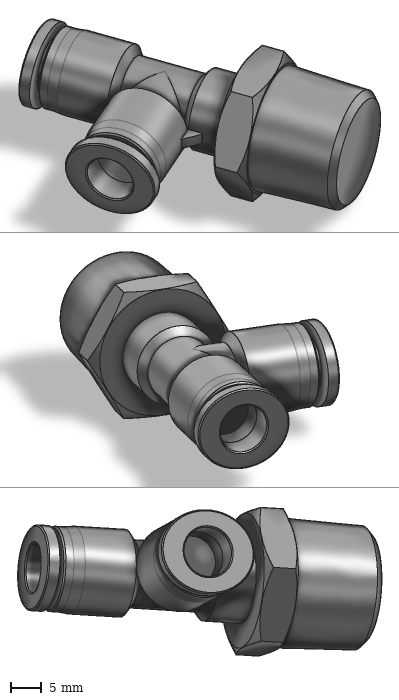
import cadquery as cq
import math


ARM_DIRECTIONS = (180, -90)
ARM_REACH = 22.65
FLANGE_THICKNESS = 2.0
SOCKET_MOUTH = 19.55
SOCKET_MOUTH_CHAMFER = 0.3
TAPER_OUTER = 17.9
TAPER_INNER = 16.0
SOCKET_SHOULDER = 7.2
CONE_LENGTH = 1.25
SOCKET_DIAMETER = 14.4
SOCKET_MOUTH_DIAMETER = 14.0
CORE_DIAMETER = 11.2

NECK_DIAMETER = 9.7
NECK_INSERTION = 1.6
FLANGE_WIDTH = 16.0
FLANGE_HEIGHT = 14.0
FLANGE_CHAMFER = 0.25
TUBE_BORE_DIAMETER = 8.2
TUBE_BORE_DEPTH = 8.45
BORE_MOUTH_CHAMFER = 0.25

COLLAR_DIAMETER = 14.0
RIB_THICKNESS = 1.95
RIB_LEG = 2.5

STUD_START = 13.55
HEX_ACROSS_FLATS = 22.25
HEX_LENGTH = 5.9
HEX_CHAMFER_DIAMETER = 22.15
HEX_CHAMFER_ANGLE = 30.0
THREAD_START_DIAMETER = 21.4
THREAD_END_DIAMETER = 20.4
THREAD_CHAMFER = 1.15
STUD_END = 57.2 - ARM_REACH

FLANGE_BACK = ARM_REACH - FLANGE_THICKNESS
NECK_END = SOCKET_MOUTH - NECK_INSERTION
CONE_END = SOCKET_SHOULDER - CONE_LENGTH


def turned(points):
    """Solid of revolution about X from (distance, radius) points."""
    start, end = points[0][0], points[-1][0]
    return (
        cq.Workplane("XY")
        .polyline([(start, 0), *points, (end, 0)])
        .close()
        .revolve(360, (0, 0, 0), (1, 0, 0))
    )


def along_arm(body, direction):
    """Turn a body built along +X about Z to the given direction in degrees."""
    return body.rotate((0, 0, 0), (0, 0, 1), direction)


def make_socket():
    """Stepped outside of one push-in arm."""
    core_radius = CORE_DIAMETER / 2
    full_radius = SOCKET_DIAMETER / 2
    mouth_radius = SOCKET_MOUTH_DIAMETER / 2
    return turned([
        (CONE_END, core_radius),
        (SOCKET_SHOULDER, full_radius),
        (TAPER_INNER, full_radius),
        (TAPER_OUTER, mouth_radius),
        (SOCKET_MOUTH - SOCKET_MOUTH_CHAMFER, mouth_radius),
        (SOCKET_MOUTH, mouth_radius - SOCKET_MOUTH_CHAMFER),
    ])


def make_core():
    """Two equal tubes that meet in a mitre at the crossing point."""
    radius = CORE_DIAMETER / 2
    run = cq.Workplane("YZ", origin=(-SOCKET_SHOULDER, 0, 0)).circle(radius).extrude(2 * SOCKET_SHOULDER)
    branch = cq.Workplane("XZ").circle(radius).extrude(SOCKET_SHOULDER)
    return run.union(branch)


def make_collar():
    radius = COLLAR_DIAMETER / 2
    return turned([
        (CONE_END, CORE_DIAMETER / 2),
        (SOCKET_SHOULDER, radius),
        (STUD_START, radius),
    ])


def make_rib():
    """Triangular web in the corner between the branch socket and the collar."""
    inner = CONE_END
    outer = SOCKET_SHOULDER + RIB_LEG
    near = SOCKET_SHOULDER
    return (
        cq.Workplane("XY")
        .polyline([(inner, -inner), (outer, -inner), (outer, -near), (near, -outer), (inner, -outer)])
        .close()
        .extrude(RIB_THICKNESS / 2, both=True)
    )


def make_tube_bore():
    """Blind hole for the tube, running through the sleeve into the socket."""
    return cq.Workplane("YZ", origin=(ARM_REACH, 0, 0)).circle(TUBE_BORE_DIAMETER / 2).extrude(-TUBE_BORE_DEPTH)


def make_neck():
    """Round neck of a sleeve, also the shape of the recess it sits in."""
    return (
        cq.Workplane("YZ", origin=(NECK_END, 0, 0))
        .circle(NECK_DIAMETER / 2)
        .extrude(FLANGE_BACK - NECK_END)
    )


def make_tee():
    tee = make_core().union(make_collar()).union(make_rib())
    for direction in ARM_DIRECTIONS:
        tee = tee.union(along_arm(make_socket(), direction))
    for direction in ARM_DIRECTIONS:
        tee = tee.cut(along_arm(make_tube_bore(), direction)).cut(along_arm(make_neck(), direction))
    return tee


def make_sleeve():
    """Release sleeve: oval flange on a round neck seated in the socket mouth."""
    flange = (
        cq.Workplane("YZ", origin=(FLANGE_BACK, 0, 0))
        .ellipse(FLANGE_WIDTH / 2, FLANGE_HEIGHT / 2)
        .extrude(FLANGE_THICKNESS)
        .faces(">X")
        .chamfer(FLANGE_CHAMFER)
    )
    bore_radius = TUBE_BORE_DIAMETER / 2
    mouth_chamfer = turned([
        (ARM_REACH - BORE_MOUTH_CHAMFER, bore_radius),
        (ARM_REACH, bore_radius + BORE_MOUTH_CHAMFER),
    ])
    return make_neck().union(flange).cut(make_tube_bore()).cut(mouth_chamfer)


def make_stud():
    """Hexagon with both faces chamfered, followed by the tapered thread envelope."""
    hex_end = STUD_START + HEX_LENGTH
    corner_radius = HEX_ACROSS_FLATS / math.sqrt(3)
    face_radius = HEX_CHAMFER_DIAMETER / 2
    chamfer_length = (corner_radius - face_radius) * math.tan(math.radians(HEX_CHAMFER_ANGLE))
    hexagon = (
        cq.Workplane("YZ", origin=(STUD_START, 0, 0))
        .polygon(6, 2 * corner_radius)
        .extrude(HEX_LENGTH)
    )
    chamfer_envelope = turned([
        (STUD_START, face_radius),
        (STUD_START + chamfer_length, corner_radius),
        (hex_end - chamfer_length, corner_radius),
        (hex_end, face_radius),
    ])
    thread_end_radius = THREAD_END_DIAMETER / 2
    thread = turned([
        (hex_end, THREAD_START_DIAMETER / 2),
        (STUD_END - THREAD_CHAMFER, thread_end_radius),
        (STUD_END, thread_end_radius - THREAD_CHAMFER),
    ])
    return hexagon.intersect(chamfer_envelope).union(thread)


tee = make_tee()
stud = make_stud()
sleeves = [along_arm(make_sleeve(), direction) for direction in ARM_DIRECTIONS]

result = cq.Compound.makeCompound([tee.val(), stud.val(), *[sleeve.val() for sleeve in sleeves]])